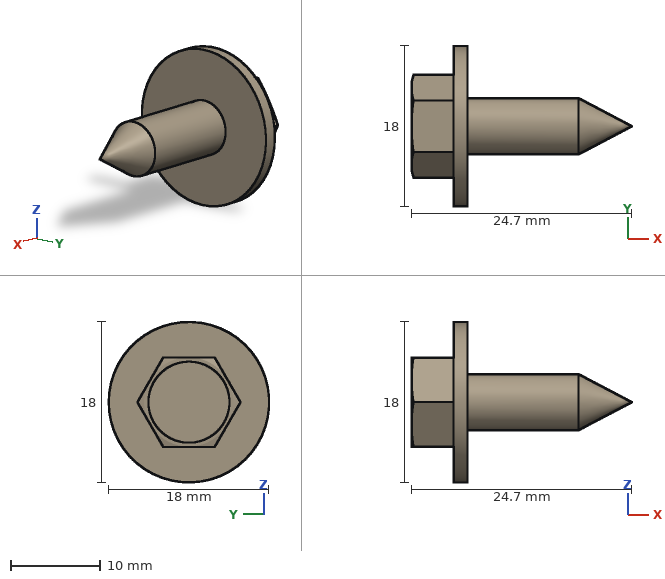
import cadquery as cq
import math

total_length = 24.7
head_height = 4.7
washer_thickness = 1.58
tip_length = 5.98

washer_diameter = 18.0
shank_diameter = 6.3
hex_across_flats = 10.0
hex_across_corners = hex_across_flats / math.cos(math.pi / 6)

chamfer_angle = 15.0
recess_diameter = 9.1
recess_depth = 0.5

washer_end = head_height + washer_thickness
tip_start = total_length - tip_length


def make_head():
    """Hexagonal head with corners bevelled by a cone and a shallow round recess."""
    hexagon = cq.Workplane("YZ").polygon(6, hex_across_corners).extrude(head_height)

    face_radius = hex_across_flats / 2
    outer_radius = hex_across_corners / 2
    bevel_depth = (outer_radius - face_radius) * math.tan(math.radians(chamfer_angle))
    bevel_envelope = (
        cq.Workplane("XY")
        .polyline([
            (0, 0),
            (0, face_radius),
            (bevel_depth, outer_radius),
            (head_height, outer_radius),
            (head_height, 0),
        ])
        .close()
        .revolve(360, (0, 0, 0), (1, 0, 0))
    )
    recess = cq.Workplane("YZ").circle(recess_diameter / 2).extrude(recess_depth)
    return hexagon.intersect(bevel_envelope).cut(recess)


def make_washer():
    """Flat round flange under the head."""
    return (
        cq.Workplane("YZ", origin=(head_height, 0, 0))
        .circle(washer_diameter / 2)
        .extrude(washer_thickness)
    )


def make_shank():
    """Plain cylindrical shank ending in a sharp conical tip."""
    shank_radius = shank_diameter / 2
    return (
        cq.Workplane("XY")
        .polyline([
            (washer_end, 0),
            (washer_end, shank_radius),
            (tip_start, shank_radius),
            (total_length, 0),
        ])
        .close()
        .revolve(360, (0, 0, 0), (1, 0, 0))
    )


result = make_head().union(make_washer()).union(make_shank())